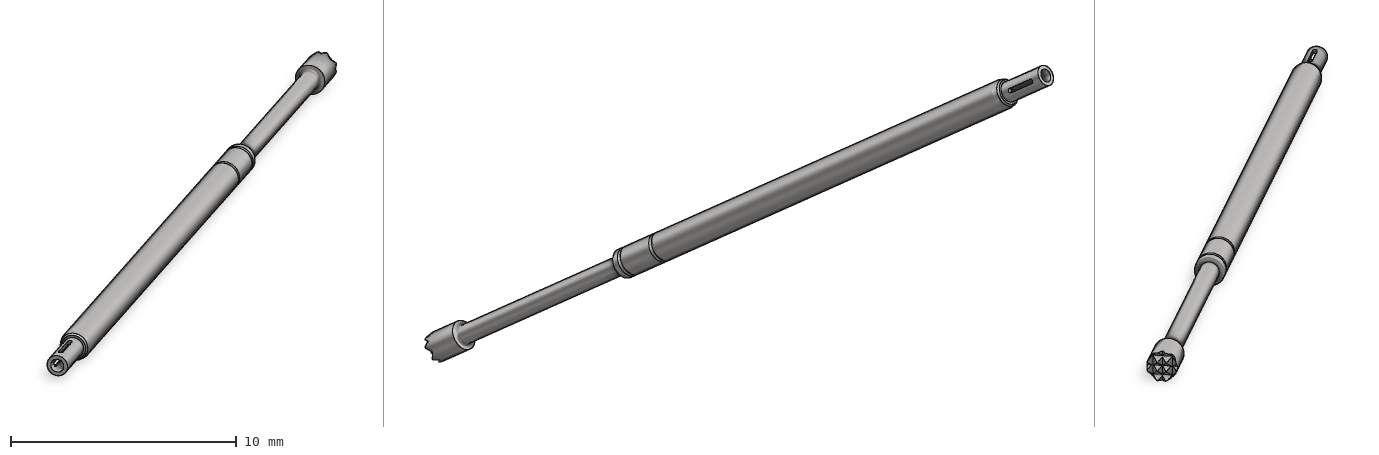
import cadquery as cq

total_length = 39.62
outer_diameter = 1.37
outer_radius = outer_diameter / 2

barrel_rear = 2.4
barrel_front = 27.4
barrel_rear_diameter = 1.15
rear_chamfer_length = 0.1
rear_chamfer_diameter = 1.28
rear_round_length = 0.24
front_fillet = 0.04
groove_width = 0.18
groove_depth = 0.1
groove_positions = (24.95, 26.98)

tail_diameter = 0.95
tail_bore_diameter = 0.6
window_count = 3
window_width = 0.2
window_length = 1.55
window_start = 0.43

plunger_diameter = 0.88
neck_fillet = 0.12

head_length = 1.85
head_start = total_length - head_length
crown_tip_offset = 0.2
crown_flank_slope = 1.2


def rod(diameter, start, end):
    """Cylinder on the Y axis between two axial positions."""
    return cq.Workplane("XZ", origin=(0, start, 0)).circle(diameter / 2).extrude(start - end)


def make_barrel():
    """Barrel with a rounded and chamfered rear end, a rounded rim and two V ring grooves."""
    chamfer_front = barrel_rear + rear_chamfer_length
    rear_round_start = chamfer_front + rear_round_length
    rear_round_drop = outer_radius - rear_chamfer_diameter / 2
    rear_round_radius = (rear_round_length**2 + rear_round_drop**2) / (2 * rear_round_drop)
    profile = (
        cq.Workplane("XY")
        .moveTo(0, barrel_rear)
        .lineTo(barrel_rear_diameter / 2, barrel_rear)
        .lineTo(rear_chamfer_diameter / 2, chamfer_front)
        .radiusArc((outer_radius, rear_round_start), rear_round_radius)
        .lineTo(outer_radius, barrel_front)
        .lineTo(0, barrel_front)
        .close()
    )
    barrel = profile.revolve(360, (0, 0, 0), (0, 1, 0))
    barrel = barrel.faces(">Y").edges().fillet(front_fillet)
    for position in groove_positions:
        groove = (
            cq.Workplane("XY")
            .moveTo(outer_radius, position - groove_width / 2)
            .lineTo(outer_radius - groove_depth, position)
            .lineTo(outer_radius, position + groove_width / 2)
            .close()
            .revolve(360, (0, 0, 0), (0, 1, 0))
        )
        barrel = barrel.cut(groove)
    return barrel


def make_tail():
    """Tube with narrow windows spaced evenly around its wall."""
    tail = rod(tail_diameter, 0, barrel_rear)
    tail = tail.cut(rod(tail_bore_diameter, 0, barrel_rear))
    window = (
        cq.Workplane("XY")
        .center(0, window_start + window_length / 2)
        .slot2D(window_length, window_width, 90)
        .extrude(tail_diameter)
    )
    for index in range(window_count):
        angle = index * 360 / window_count
        tail = tail.cut(window.rotate((0, 0, 0), (0, 1, 0), angle))
    return tail


def make_plunger():
    """Plain shaft that flares through a concave fillet into the head."""
    radius = plunger_diameter / 2
    profile = (
        cq.Workplane("XY")
        .moveTo(0, barrel_front)
        .lineTo(radius, barrel_front)
        .lineTo(radius, head_start - neck_fillet)
        .radiusArc((radius + neck_fillet, head_start), neck_fillet)
        .lineTo(0, head_start)
        .close()
    )
    return profile.revolve(360, (0, 0, 0), (0, 1, 0))


def crown_groove(left, right):
    """V groove across the whole crown, between two X positions at its mouth."""
    depth = crown_flank_slope * (right - left) / 2
    return (
        cq.Workplane("XY")
        .moveTo((left + right) / 2, total_length - depth)
        .lineTo(right, total_length)
        .lineTo(left, total_length)
        .close()
        .extrude(outer_radius, both=True)
    )


def make_head():
    """Head with a crown of points left between three V grooves each way."""
    head = rod(outer_diameter, head_start, total_length)
    mouth_edges = (-outer_radius, -crown_tip_offset, crown_tip_offset, outer_radius)
    for left, right in zip(mouth_edges, mouth_edges[1:]):
        groove = crown_groove(left, right)
        head = head.cut(groove)
        head = head.cut(groove.rotate((0, 0, 0), (0, 1, 0), 90))
    return head


result = make_barrel().union(make_tail()).union(make_plunger()).union(make_head())